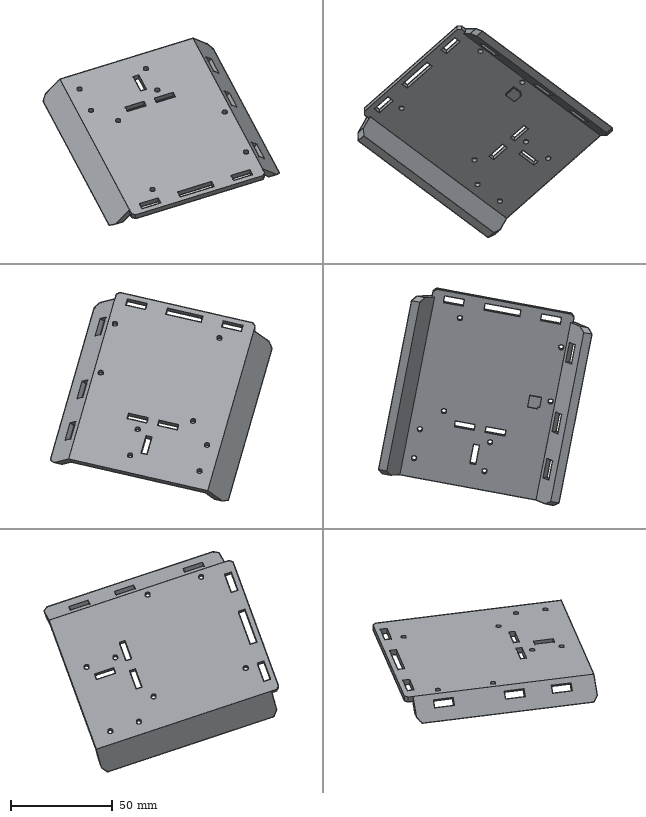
import cadquery as cq
import math

sheet = 3.0
deck_length = 91.9
deck_width = 71.0
flange_drop = 10.0
bend_angle = 45
flange_corner = 2.3

overall_length = 96.0
tab_corner = 1.5

edge_slot_x = 91.7
edge_slot_width = 3.5
edge_slot_pitch = 24.5
short_slot = 10.0
long_slot = 18.0

deck_slots = [
    (17.1, 0.2, short_slot, sheet),
    (30.5, 8.2, sheet, short_slot),
    (30.5, -7.4, sheet, short_slot),
]

flange_slot_centres = [17.1, 41.0, 77.0]
flange_slot_width = 4.0
flange_slot_from_bend = 5.0

hole_diameter = 2.5
hole_centres = [
    (9.6, 6.5),
    (24.6, 6.5),
    (9.6, -28.9),
    (24.6, -28.9),
    (35.8, -18.9),
    (83.7, -20.0),
    (50.5, 32.1),
    (78.5, 32.1),
]

pad_height = 1.2
pad_x = 45.9
pad_length = 6.0
pad_y_min = 21.3
pad_width = 6.0
pad_step = 1.0


def bent_sheet():
    """Deck and both flanges as one profile along X, with the lower flange corners cut off."""
    bend = deck_width / 2
    angle = math.radians(bend_angle)
    tip = bend + flange_drop / math.tan(angle)
    inner_tip = tip - sheet / math.sin(angle)
    inner_bend = bend - sheet * math.tan(angle / 2)
    profile = [
        (-bend, 0),
        (bend, 0),
        (tip, -flange_drop),
        (inner_tip, -flange_drop),
        (inner_bend, -sheet),
        (-inner_bend, -sheet),
        (-inner_tip, -flange_drop),
        (-tip, -flange_drop),
    ]
    sheet_body = cq.Workplane("YZ").polyline(profile).close().extrude(deck_length)
    return sheet_body.faces("<Z").edges("|Y").chamfer(flange_corner)


def end_tab():
    """Plate joined to the deck's +X end, with its two outer corners cut off."""
    length = overall_length - deck_length
    plate = (
        cq.Workplane("XY")
        .box(length, deck_width, sheet, centered=(False, True, False))
        .translate((deck_length, 0, -sheet))
    )
    return plate.faces(">X").edges("|Z").chamfer(tab_corner)


def deck_slot(x, y, size_x, size_y):
    """Cutter for a rectangular slot straight through the deck."""
    return cq.Workplane("XY").center(x, y).rect(size_x, size_y).extrude(-sheet)


def flange_slot(x):
    """Cutter for a slot square to the face of the +Y flange."""
    cutter_depth = 3 * sheet
    angle = math.radians(bend_angle)
    y = deck_width / 2 + flange_slot_from_bend * math.cos(angle)
    z = -flange_slot_from_bend * math.sin(angle)
    cutter = cq.Workplane("XY").box(short_slot, flange_slot_width, cutter_depth)
    return cutter.rotate((0, 0, 0), (1, 0, 0), -bend_angle).translate((x, y, z))


def stepped_pad():
    """Low block under the deck whose outer strip is set back from its -X face."""
    pad = (
        cq.Workplane("XY", origin=(pad_x, pad_y_min, -sheet))
        .rect(pad_length, pad_width, centered=False)
        .extrude(-pad_height)
    )
    notch = (
        cq.Workplane("XY", origin=(pad_x, pad_y_min + pad_width - pad_step, -sheet))
        .rect(pad_step, pad_step, centered=False)
        .extrude(-pad_height)
    )
    return pad.cut(notch)


result = bent_sheet().union(end_tab()).union(stepped_pad())

for slot in deck_slots:
    result = result.cut(deck_slot(*slot))

for slot_y, slot_length in [
    (-edge_slot_pitch, short_slot),
    (0, long_slot),
    (edge_slot_pitch, short_slot),
]:
    result = result.cut(deck_slot(edge_slot_x, slot_y, edge_slot_width, slot_length))

for slot_x in flange_slot_centres:
    result = result.cut(flange_slot(slot_x))

holes = cq.Workplane("XY").pushPoints(hole_centres).circle(hole_diameter / 2).extrude(-sheet)
result = result.cut(holes)